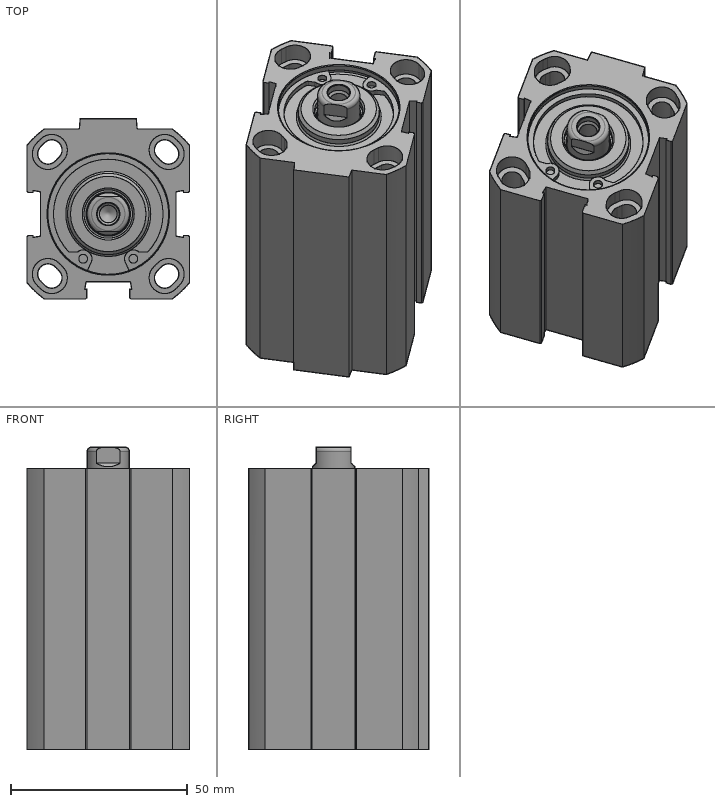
import cadquery as cq
import math


TOTAL_HEIGHT = 85.5
ROD_PROTRUSION = 6.0
HOUSING_HEIGHT = TOTAL_HEIGHT - ROD_PROTRUSION

HALF_WIDTH = 23.0
HALF_DEPTH = 24.0
CORNER_RADIUS = 30.1
TAB_TOP_Y = 26.9
TAB_BASE_HALF_WIDTH = 8.2
TAB_TOP_HALF_WIDTH = 7.95

SLOT_FLOOR = 19.15
SLOT_LIP = 21.2
SLOT_MOUTH_HALF_WIDTH = 6.1
SLOT_NOTCH_HALF_WIDTH = 6.6
SLOT_FLOOR_HALF_WIDTH = 6.2
SLOT_LIP_CHAMFER = 0.3

MOUNT_X = 16.5
MOUNT_Y = 17.5
MOUNT_STRETCH = 1.5
MOUNT_DIAMETER = 5.7
COUNTERBORE_DIAMETER = 8.8
COUNTERBORE_DEPTH = 5.7

BORE_DIAMETER = 34.1
BORE_DEPTH = 17.1
BORE_CHAMFER = 0.25
GROOVE_DIAMETER = 35.8

RING_TOP_DEPTH = 2.0
RING_THICKNESS = 1.6
RING_INNER_DIAMETER = 30.95
EAR_X = 7.1
EAR_Y = -12.65
EAR_DIAMETER = 5.0
EAR_HOLE_DIAMETER = 2.5
EAR_SHOULDER_Y = -10.8
EAR_SHOULDER_FILLET = 0.85
GAP_EDGE_X = 5.9

BOSS_DIAMETER = 23.0
BOSS_TOP_DEPTH = 0.5
BOSS_CHAMFER = 0.85
BOSS_FOOT_CHAMFER = 0.5
WIPER_DIAMETER = 13.7
WIPER_DEPTH = 2.1
WIPER_CHAMFER = 0.5
CLEARANCE_DIAMETER = 12.6
CLEARANCE_DEPTH = 3.4

ROD_DIAMETER = 12.0
ROD_TOP_FILLET = 1.3
FLAT_HALF_WIDTH = 5.0
FLAT_LENGTH = 4.5
HOLE_MOUTH_DIAMETER = 6.2
HOLE_MOUTH_DEPTH = 2.2
HOLE_RIM_CHAMFER = 0.2
DRILL_DIAMETER = 5.0
DRILL_DEPTH = 10.3
DRILL_POINT_ANGLE = 118.0

BORE_FLOOR_Z = HOUSING_HEIGHT - BORE_DEPTH
RING_TOP_Z = HOUSING_HEIGHT - RING_TOP_DEPTH
RING_BOTTOM_Z = RING_TOP_Z - RING_THICKNESS
BOSS_TOP_Z = HOUSING_HEIGHT - BOSS_TOP_DEPTH


def disc(diameter, bottom_z, top_z):
    return cq.Workplane("XY").workplane(offset=bottom_z).circle(diameter / 2).extrude(top_z - bottom_z)


def cone(bottom_diameter, top_diameter, bottom_z, top_z):
    """Cone about the rod axis; the bottom diameter is zero for a pointed one."""
    start = cq.Vector(0, 0, bottom_z)
    solid = cq.Solid.makeCone(bottom_diameter / 2, top_diameter / 2, top_z - bottom_z, start)
    return cq.Workplane(solid)


def housing_outline():
    block = cq.Workplane("XY").rect(2 * HALF_WIDTH, 2 * HALF_DEPTH).extrude(HOUSING_HEIGHT)
    block = block.intersect(disc(2 * CORNER_RADIUS, 0, HOUSING_HEIGHT))
    tab = (
        cq.Workplane("XY")
        .polyline(
            [
                (-TAB_BASE_HALF_WIDTH, 0),
                (-TAB_BASE_HALF_WIDTH, HALF_DEPTH),
                (-TAB_TOP_HALF_WIDTH, TAB_TOP_Y),
                (TAB_TOP_HALF_WIDTH, TAB_TOP_Y),
                (TAB_BASE_HALF_WIDTH, HALF_DEPTH),
                (TAB_BASE_HALF_WIDTH, 0),
            ]
        )
        .close()
        .extrude(HOUSING_HEIGHT)
    )
    return block.union(tab)


def sensor_slot(turn, side_distance):
    """Slot opening towards +X in a side at the given distance, turned about the rod axis."""
    upper_half = [
        (SLOT_FLOOR, SLOT_FLOOR_HALF_WIDTH),
        (SLOT_LIP, SLOT_NOTCH_HALF_WIDTH),
        (SLOT_LIP, SLOT_MOUTH_HALF_WIDTH),
        (side_distance - SLOT_LIP_CHAMFER, SLOT_MOUTH_HALF_WIDTH),
        (side_distance, SLOT_MOUTH_HALF_WIDTH + SLOT_LIP_CHAMFER),
    ]
    lower_half = [(x, -y) for x, y in reversed(upper_half)]
    slot = cq.Workplane("XY").polyline(upper_half + lower_half).close().extrude(HOUSING_HEIGHT)
    return slot.rotate((0, 0, 0), (0, 0, 1), turn)


def mounting_hole(x_side, y_side):
    angle = -45 * x_side * y_side
    place = cq.Workplane("XY").center(x_side * MOUNT_X, y_side * MOUNT_Y)
    through = place.slot2D(MOUNT_DIAMETER + MOUNT_STRETCH, MOUNT_DIAMETER, angle).extrude(HOUSING_HEIGHT)
    counterbore = (
        place.workplane(offset=HOUSING_HEIGHT - COUNTERBORE_DEPTH)
        .slot2D(COUNTERBORE_DIAMETER + MOUNT_STRETCH, COUNTERBORE_DIAMETER, angle)
        .extrude(COUNTERBORE_DEPTH)
    )
    return through.union(counterbore)


def make_housing():
    housing = housing_outline()
    for turn, side_distance in ((0, HALF_WIDTH), (180, HALF_WIDTH), (270, HALF_DEPTH)):
        housing = housing.cut(sensor_slot(turn, side_distance))
    for x_side in (-1, 1):
        for y_side in (-1, 1):
            housing = housing.cut(mounting_hole(x_side, y_side))
    housing = housing.cut(disc(BORE_DIAMETER, BORE_FLOOR_Z, HOUSING_HEIGHT))
    housing = housing.cut(
        cone(
            BORE_DIAMETER,
            BORE_DIAMETER + 2 * BORE_CHAMFER,
            HOUSING_HEIGHT - BORE_CHAMFER,
            HOUSING_HEIGHT,
        )
    )
    return housing.cut(disc(GROOVE_DIAMETER, RING_BOTTOM_Z, RING_TOP_Z))


def gap_tangent(edge):
    """Point where the line from the gap edge touches the right ear, on the side of the gap."""
    distance = math.hypot(edge[0] - EAR_X, edge[1] - EAR_Y)
    edge_angle = math.atan2(edge[1] - EAR_Y, edge[0] - EAR_X)
    return ear_point(edge_angle - math.acos(EAR_DIAMETER / 2 / distance))


def ear_point(angle):
    """Point on the rim of the right ear."""
    return (
        EAR_X + EAR_DIAMETER / 2 * math.cos(angle),
        EAR_Y + EAR_DIAMETER / 2 * math.sin(angle),
    )


def mirrored(point):
    return (-point[0], point[1])


def ring_opening():
    """Inside of the ring together with the gap between its two ears."""
    inner_radius = RING_INNER_DIAMETER / 2
    shoulder = (math.sqrt(inner_radius**2 - EAR_SHOULDER_Y**2), EAR_SHOULDER_Y)
    ear_start = ear_point(math.asin((EAR_SHOULDER_Y - EAR_Y) / (EAR_DIAMETER / 2)))
    ear_top = ear_point(math.pi / 2)
    edge = (GAP_EDGE_X, -math.sqrt((BORE_DIAMETER / 2) ** 2 - GAP_EDGE_X**2))
    ear_end = gap_tangent(edge)
    run_on = (-GROOVE_DIAMETER / 2 - edge[1]) / (edge[1] - ear_end[1])
    gap_corner = (edge[0] + run_on * (edge[0] - ear_end[0]), -GROOVE_DIAMETER / 2)
    opening = (
        cq.Workplane("XY")
        .workplane(offset=RING_BOTTOM_Z)
        .moveTo(*mirrored(shoulder))
        .threePointArc((0, inner_radius), shoulder)
        .lineTo(*ear_start)
        .threePointArc(ear_top, ear_end)
        .lineTo(*gap_corner)
        .lineTo(*mirrored(gap_corner))
        .lineTo(*mirrored(ear_end))
        .threePointArc(mirrored(ear_top), mirrored(ear_start))
        .close()
        .extrude(RING_THICKNESS)
    )
    middle_z = RING_BOTTOM_Z + RING_THICKNESS / 2
    for x, y in (shoulder, ear_start, mirrored(shoulder), mirrored(ear_start)):
        opening = opening.edges(cq.NearestToPointSelector((x, y, middle_z))).fillet(EAR_SHOULDER_FILLET)
    return opening


def make_retaining_ring():
    ring = disc(GROOVE_DIAMETER, RING_BOTTOM_Z, RING_TOP_Z).cut(ring_opening())
    ear_holes = (
        cq.Workplane("XY")
        .workplane(offset=RING_BOTTOM_Z)
        .pushPoints([(-EAR_X, EAR_Y), (EAR_X, EAR_Y)])
        .circle(EAR_HOLE_DIAMETER / 2)
        .extrude(RING_THICKNESS)
    )
    return ring.cut(ear_holes)


def make_gland():
    gland = disc(BORE_DIAMETER, BORE_FLOOR_Z, RING_BOTTOM_Z)
    boss = disc(BOSS_DIAMETER, RING_BOTTOM_Z, BOSS_TOP_Z).faces(">Z").chamfer(BOSS_CHAMFER)
    foot_diameter = BOSS_DIAMETER + 2 * BOSS_FOOT_CHAMFER
    foot = cone(foot_diameter, BOSS_DIAMETER, RING_BOTTOM_Z, RING_BOTTOM_Z + BOSS_FOOT_CHAMFER)
    gland = gland.union(boss).union(foot)
    gland = gland.cut(disc(ROD_DIAMETER, BORE_FLOOR_Z, BOSS_TOP_Z))
    gland = gland.cut(disc(CLEARANCE_DIAMETER, BOSS_TOP_Z - CLEARANCE_DEPTH, BOSS_TOP_Z))
    gland = gland.cut(disc(WIPER_DIAMETER, BOSS_TOP_Z - WIPER_DEPTH, BOSS_TOP_Z))
    mouth_diameter = WIPER_DIAMETER + 2 * WIPER_CHAMFER
    return gland.cut(cone(WIPER_DIAMETER, mouth_diameter, BOSS_TOP_Z - WIPER_CHAMFER, BOSS_TOP_Z))


def wrench_flat():
    """Material cut away for the flat on the -Y side, with a run-out sloping at 45 degrees."""
    rod_radius = ROD_DIAMETER / 2
    flat_end_z = TOTAL_HEIGHT - FLAT_LENGTH
    return (
        cq.Workplane("YZ")
        .workplane(offset=-rod_radius)
        .polyline(
            [
                (-FLAT_HALF_WIDTH, TOTAL_HEIGHT),
                (-FLAT_HALF_WIDTH, flat_end_z),
                (-rod_radius, flat_end_z - (rod_radius - FLAT_HALF_WIDTH)),
                (-rod_radius, TOTAL_HEIGHT),
            ]
        )
        .close()
        .extrude(ROD_DIAMETER)
    )


def make_rod():
    rod = disc(ROD_DIAMETER, BORE_FLOOR_Z, TOTAL_HEIGHT).faces(">Z").edges().fillet(ROD_TOP_FILLET)
    rod = rod.cut(wrench_flat()).cut(wrench_flat().mirror("XZ"))
    drill_end_z = TOTAL_HEIGHT - DRILL_DEPTH
    point_height = DRILL_DIAMETER / 2 / math.tan(math.radians(DRILL_POINT_ANGLE / 2))
    rod = rod.cut(disc(DRILL_DIAMETER, drill_end_z, TOTAL_HEIGHT))
    rod = rod.cut(cone(0, DRILL_DIAMETER, drill_end_z - point_height, drill_end_z))
    mouth_floor_z = TOTAL_HEIGHT - HOLE_MOUTH_DEPTH
    shoulder_height = (HOLE_MOUTH_DIAMETER - DRILL_DIAMETER) / 2
    rod = rod.cut(cone(DRILL_DIAMETER, HOLE_MOUTH_DIAMETER, mouth_floor_z - shoulder_height, mouth_floor_z))
    rod = rod.cut(disc(HOLE_MOUTH_DIAMETER, mouth_floor_z, TOTAL_HEIGHT))
    rim_diameter = HOLE_MOUTH_DIAMETER + 2 * HOLE_RIM_CHAMFER
    return rod.cut(cone(HOLE_MOUTH_DIAMETER, rim_diameter, TOTAL_HEIGHT - HOLE_RIM_CHAMFER, TOTAL_HEIGHT))


housing = make_housing()
gland = make_gland()
retaining_ring = make_retaining_ring()
rod = make_rod()

result = cq.Compound.makeCompound([housing.val(), gland.val(), retaining_ring.val(), rod.val()])